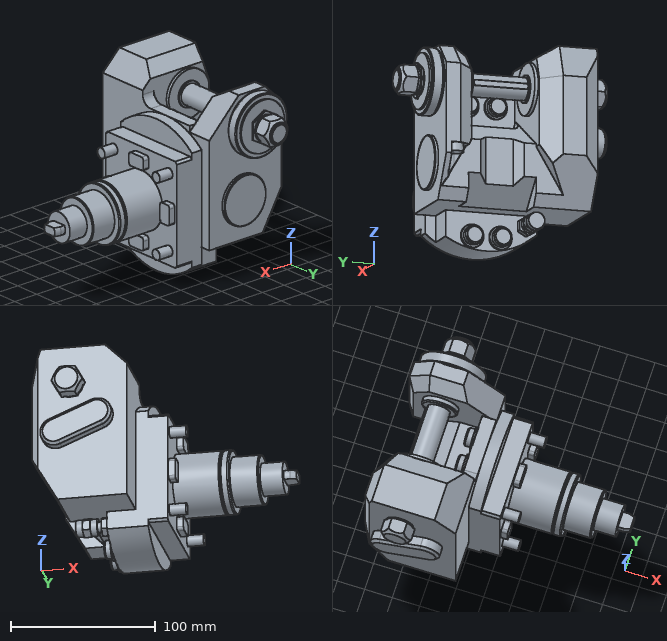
import cadquery as cq
import math


flange_radius = 57.0
flange_half_width = 37.5
flange_front_x = -13.8
body_back_x = -22.75
base_half_height = 39.9
base_edge_chamfer = 1.8
lower_block_front_x = -43.0
lower_block_side_y = 29.65

gap_half = 24.75
body_bottom_z = -30.0
bottom_slope_x = -71.8
bottom_slope_angle = math.radians(60)

big_arm_front_x = -91.8
big_arm_outer_y = -67.0
big_arm_top_z = 82.87
big_arm_front_top_z = 60.3
big_arm_top_front_x = -83.7
big_arm_top_back_x = -38.0
big_arm_back_top_z = 68.0
big_arm_front_bevel = (8.2, 14.8)
big_arm_top_bevel = (8.1, 13.8)
big_arm_outer_bevel = (6.2, 10.4)

small_arm_front_x = -89.1
small_arm_outer_y = 45.5
small_arm_top_z = 79.15
small_arm_corner = 15.0
small_arm_back_corner_x = -49.7
small_arm_inner_bevel = (6.0, 10.0)

web_front_x = -76.9
web_front_top_z = 13.8
web_slope_angle = math.radians(30)
step_z = 29.8
step_fillet = 8.0
plate_front_x = -33.0
groove_depth = 6.0
groove_floor_half = 10.0
flare_top_z = 12.0
flare_bottom_z = -21.1
flare_angle = math.radians(31)
notch_top_z = -10.0

pocket_radius = 5.3
pocket_x = -82.8
pocket_y = 36.1
pocket_top_z = 8.1
pocket_head_height = 6.0

arbor_x = -63.0
arbor_z = 55.2
arbor_diameter = 16.2
key_width = 4.0
key_height_radius = 9.1
hex_flats = 19.2
hex_tip_diameter = 16.2

collar_end_y = -22.2
spacer_end_y = -21.2
key_y = (-20.9, 19.1)
key_corner_radius = 1.5
bush_start_y = 20.6
bush_chamfer = 1.0
cap_base_end_y = 46.9
cap_rim_end_y = 54.3
cap_rim_chamfer = 0.8
cap_boss_end_y = 55.7
lock_plate_y = (57.2, 58.6)
lock_plate_flats = 22.3
nut_y = (60.1, 72.2)
thread_tip_y = 73.3
thread_tip_chamfer = 0.6
bolt_seat_y = -68.0
bolt_tip_y = -79.2
collar_diameter = 37.0
spacer_diameter = 19.6
bush_diameter = 26.0
cap_base_diameter = 45.5
cap_rim_diameter = 47.4
cap_boss_diameter = 39.5
nut_neck_diameter = 19.8
thread_tip_diameter = 14.5

cover_x = -53.7
cover_diameter = 38.3
cover_end_y = 48.1
cover_chamfer = 0.6

pilot_end_x = 32.5
pilot_diameter = 45.0
groove_end_x = 33.2
groove_diameter = 43.0
collar_end_x = 39.7
shoulder_end_x = 59.8
shoulder_diameter = 35.0
nose_end_x = 75.5
nose_diameter = 23.2
shank_edge_chamfer = (1.2, 0.4)
shoulder_edge_chamfer = (1.0, 0.4)
tang_end_x = 84.2
tang_thickness = 6.5
tang_diameter = 13.3
tang_taper = (4.5, 1.1)

pad_center = (-57.5, 24.3)
pad_radius = 10.2
pad_length = 52.6
pad_angle = 22.0
pad_height = 8.45
pad_chamfer = 2.0

pin_offset = 29.0
pin_diameter = 8.0
pin_length = 11.6
lug_width = 15.4
lug_inner = 25.0
lug_outer = 35.1
lug_length = 4.74
lug_corner = 2.2

screw_y = 10.4
screw_z = 47.2
screw_head_diameter = 13.1
screw_head_length = 5.1
screw_head_chamfer = 1.0
screw_washer_diameter = 16.3
screw_washer_length = 1.7

fitting_y = -29.3
fitting_z = -37.8
fitting_hex_flats = 12.0
fitting_tip_x = -65.7
fitting_barrel_end_x = -50.8
fitting_barrel_diameter = 11.8
fitting_neck_diameter = 7.6
fitting_nut_x = (-60.9, -55.5)
fitting_locknut_front_x = -47.7

overlap = 1.0


def box(x0, x1, y0, y1, z0, z1):
    return cq.Workplane("XY").box(x1 - x0, y1 - y0, z1 - z0, centered=False).translate((x0, y0, z0))


def rod_x(x0, x1, diameter, y=0.0, z=0.0):
    return cq.Workplane("YZ", origin=(x0, y, z)).circle(diameter / 2).extrude(x1 - x0)


def rod_y(y0, y1, diameter, x=arbor_x, z=arbor_z):
    return cq.Workplane("XZ", origin=(x, y1, z)).circle(diameter / 2).extrude(y1 - y0)


def prism_y(points, y0, y1):
    return cq.Workplane("XZ", origin=(0, y1, 0)).polyline(points).close().extrude(y1 - y0)


def hex_x(x0, x1, flats, y, z):
    corners = flats / math.cos(math.pi / 6)
    hexagon = cq.Workplane("YZ", origin=(x0, y, z)).transformed(rotate=(0, 0, 90))
    return hexagon.polygon(6, corners).extrude(x1 - x0)


def hex_y(y0, y1, flats, turn=0.0):
    corners = flats / math.cos(math.pi / 6)
    hexagon = cq.Workplane("XZ", origin=(arbor_x, y1, arbor_z)).transformed(rotate=(0, 0, turn))
    return hexagon.polygon(6, corners).extrude(y1 - y0)


def hex_head(y_seat, y_tip):
    """Hexagon on the arbor axis whose corners are turned off at the tip end."""
    corner_radius = hex_flats / math.cos(math.pi / 6) / 2
    tip_radius = hex_tip_diameter / 2
    turned_length = corner_radius - tip_radius
    envelope = rod_y(min(y_seat, y_tip), max(y_seat, y_tip), 2 * corner_radius)
    tip_face = ">Y" if y_tip > y_seat else "<Y"
    envelope = envelope.faces(tip_face).chamfer(turned_length)
    return hex_y(min(y_seat, y_tip), max(y_seat, y_tip), hex_flats).intersect(envelope)


def bottom_slope_z(x):
    """Height of the sloped underside at the front of the arms."""
    return body_bottom_z + (bottom_slope_x - x) * math.tan(bottom_slope_angle)


def bevel(profile, y_face, y_run, setback):
    """Wedges that bevel the edges of a prism along consecutive outline points.

    On the face at y_face each bevel starts setback in from the outline. It
    meets the outline after y_run, which is signed.
    """
    reach = 100.0
    wedges = cq.Workplane("XY")
    for (x0, z0), (x1, z1) in zip(profile, profile[1:]):
        length = math.hypot(x1 - x0, z1 - z0)
        along = cq.Vector((x1 - x0) / length, 0, (z1 - z0) / length)
        inward = cq.Vector(along.z, 0, -along.x)
        plane = cq.Plane(origin=(x0, y_face, z0), xDir=inward, normal=along)
        side = plane.toLocalCoords(cq.Vector(x0, y_face + y_run, z0)).y
        wedge = (
            cq.Workplane(plane)
            .workplane(offset=-reach)
            .polyline([(-setback, 2 * side), (-setback, -side), (2 * setback, -side)])
            .close()
            .extrude(length + 2 * reach)
        )
        wedges = wedges.add(wedge)
    return wedges


def cut_all(body, tools):
    for tool in tools.vals():
        body = body.cut(cq.Workplane(tool))
    return body


def big_arm():
    front_low = (big_arm_front_x, bottom_slope_z(big_arm_front_x))
    front_high = (big_arm_front_x, big_arm_front_top_z)
    top_front = (big_arm_top_front_x, big_arm_top_z)
    top_back = (big_arm_top_back_x, big_arm_top_z)
    outline = [
        (bottom_slope_x, body_bottom_z),
        front_low,
        front_high,
        top_front,
        top_back,
        (body_back_x, big_arm_back_top_z),
        (body_back_x, body_bottom_z),
    ]
    arm = prism_y(outline, big_arm_outer_y, -gap_half)
    front_setback, front_run = big_arm_front_bevel
    top_setback, top_run = big_arm_top_bevel
    outer_setback, outer_run = big_arm_outer_bevel
    arm = cut_all(arm, bevel([front_low, front_high, top_front], -gap_half, -front_run, front_setback))
    arm = cut_all(arm, bevel([top_front, top_back], -gap_half, -top_run, top_setback))
    return cut_all(arm, bevel([front_low, front_high], big_arm_outer_y, outer_run, outer_setback))


def small_arm():
    front_low = (small_arm_front_x, bottom_slope_z(small_arm_front_x))
    front_high = (small_arm_front_x, small_arm_top_z - small_arm_corner)
    top_front = (small_arm_front_x + small_arm_corner, small_arm_top_z)
    top_back = (small_arm_back_corner_x, small_arm_top_z)
    back_drop = body_back_x - small_arm_back_corner_x
    outline = [
        (bottom_slope_x, body_bottom_z),
        front_low,
        front_high,
        top_front,
        top_back,
        (body_back_x, small_arm_top_z - back_drop),
        (body_back_x, body_bottom_z),
    ]
    arm = prism_y(outline, gap_half, small_arm_outer_y)
    setback, run = small_arm_inner_bevel
    return cut_all(arm, bevel([front_low, front_high, top_front, top_back], gap_half, run, setback))


def clamp_pocket():
    """Recess open to the front, to the gap and underneath, rounded at its blind corner."""
    recess = box(
        small_arm_front_x - overlap,
        pocket_x + pocket_radius,
        gap_half,
        pocket_y + pocket_radius,
        body_bottom_z,
        pocket_top_z,
    )
    return recess.edges("|Z and >X and >Y").fillet(pocket_radius)


def pocket_screw_head():
    bottom = pocket_top_z - pocket_head_height
    height = pocket_head_height + overlap
    return cq.Workplane("XY", origin=(pocket_x, pocket_y, bottom)).circle(pocket_radius).extrude(height)


def trough(x0, x1, floor_z):
    """Filling between the arms, with a fillet rising onto the big arm."""
    section = (
        cq.Workplane("YZ", origin=(x0, 0, 0))
        .moveTo(-gap_half, body_bottom_z)
        .lineTo(gap_half, body_bottom_z)
        .lineTo(gap_half, floor_z)
        .lineTo(-gap_half + step_fillet, floor_z)
        .radiusArc((-gap_half, floor_z + step_fillet), step_fillet)
        .close()
    )
    return section.extrude(x1 - x0)


def web():
    slope_top_z = step_z + step_fillet
    slope_run = (slope_top_z - web_front_top_z) / math.tan(web_slope_angle)
    profile = [
        (web_front_x, body_bottom_z),
        (web_front_x, web_front_top_z),
        (web_front_x + slope_run, slope_top_z),
        (body_back_x, slope_top_z),
        (body_back_x, body_bottom_z),
    ]
    sloped = prism_y(profile, -gap_half, gap_half)
    filling = sloped.intersect(trough(web_front_x, body_back_x, step_z))
    groove_back_x = web_front_x + groove_depth
    groove_mouth_half = groove_floor_half + groove_depth
    groove = (
        cq.Workplane("XY", origin=(0, 0, body_bottom_z))
        .polyline(
            [
                (web_front_x, -groove_mouth_half),
                (groove_back_x, -groove_floor_half),
                (groove_back_x, groove_floor_half),
                (web_front_x, groove_mouth_half),
            ]
        )
        .close()
        .extrude(slope_top_z - body_bottom_z)
    )
    notch_run = notch_top_z - body_bottom_z
    notch = prism_y(
        [
            (web_front_x, notch_top_z),
            (web_front_x + notch_run, body_bottom_z),
            (web_front_x, body_bottom_z),
        ],
        -gap_half,
        gap_half,
    )
    return filling.cut(groove).cut(notch)


def flare():
    """Clearance that widens downwards in front of the web and cuts both arms."""
    bottom_half = gap_half + (flare_top_z - flare_bottom_z) * math.tan(flare_angle)
    section = (
        cq.Workplane("YZ", origin=(web_front_x, 0, 0))
        .polyline(
            [
                (-bottom_half, flare_bottom_z),
                (bottom_half, flare_bottom_z),
                (gap_half, flare_top_z),
                (-gap_half, flare_top_z),
            ]
        )
        .close()
    )
    return section.extrude(big_arm_front_x - overlap - web_front_x)


def flange():
    disc = rod_x(body_back_x, flange_front_x, 2 * flange_radius)
    sides = box(
        body_back_x, flange_front_x, -flange_half_width, flange_half_width, -flange_radius, flange_radius
    )
    base = box(
        flange_front_x, 0, -flange_half_width, flange_half_width, -base_half_height, base_half_height
    )
    return disc.intersect(sides).union(base.edges("|X").chamfer(base_edge_chamfer))


def lower_block():
    disc = rod_x(lower_block_front_x, body_back_x, 2 * flange_radius)
    limits = box(
        lower_block_front_x,
        body_back_x,
        -flange_half_width,
        lower_block_side_y,
        -flange_radius,
        body_bottom_z,
    )
    return disc.intersect(limits)


def shank():
    pilot = rod_x(0, pilot_end_x, pilot_diameter)
    groove = rod_x(pilot_end_x, groove_end_x, groove_diameter)
    collar = rod_x(groove_end_x, collar_end_x, pilot_diameter).faces("<X or >X").chamfer(*shank_edge_chamfer)
    shoulder = rod_x(collar_end_x, shoulder_end_x, shoulder_diameter)
    shoulder = shoulder.faces(">X").chamfer(*shoulder_edge_chamfer)
    nose = rod_x(shoulder_end_x, nose_end_x, nose_diameter)
    return pilot.union(groove).union(collar).union(shoulder).union(nose)


def tang():
    radius = tang_diameter / 2
    half_thickness = tang_thickness / 2
    blank = rod_x(nose_end_x, tang_end_x, tang_diameter).faces(">X").chamfer(*tang_taper)
    flats = box(nose_end_x, tang_end_x, -radius, radius, -half_thickness, half_thickness)
    return blank.intersect(flats)


def back_face_pins():
    pins = cq.Workplane("YZ").rect(2 * pin_offset, 2 * pin_offset, forConstruction=True).vertices()
    return pins.circle(pin_diameter / 2).extrude(pin_length)


def drive_lugs():
    lug = box(0, lug_length, -lug_width / 2, lug_width / 2, lug_inner, lug_outer)
    lug = lug.edges("|X").fillet(lug_corner)
    lugs = lug
    for turn in (90, 180, 270):
        lugs = lugs.union(lug.rotate((0, 0, 0), (1, 0, 0), turn))
    return lugs


def flange_screw(seat_x, y, z):
    washer_front_x = seat_x - screw_washer_length
    washer = rod_x(washer_front_x, seat_x, screw_washer_diameter, y, z)
    head = rod_x(washer_front_x - screw_head_length, washer_front_x, screw_head_diameter, y, z)
    return washer.union(head.faces("<X").chamfer(screw_head_chamfer))


def flange_screws():
    screws = cq.Workplane("XY")
    for y in (-screw_y, screw_y):
        screws = screws.add(flange_screw(plate_front_x, y, screw_z))
        screws = screws.add(flange_screw(lower_block_front_x, y, -screw_z))
    return screws.combine()


def fitting():
    barrel = rod_x(fitting_tip_x, fitting_barrel_end_x, fitting_barrel_diameter, fitting_y, fitting_z)
    neck = rod_x(fitting_barrel_end_x, lower_block_front_x, fitting_neck_diameter, fitting_y, fitting_z)
    nut = hex_x(*fitting_nut_x, fitting_hex_flats, fitting_y, fitting_z)
    locknut = hex_x(fitting_locknut_front_x, lower_block_front_x, fitting_hex_flats, fitting_y, fitting_z)
    return barrel.union(neck).union(nut).union(locknut)


def arbor():
    bar = rod_y(-gap_half - overlap, gap_half + overlap, arbor_diameter)
    key = box(
        arbor_x - key_height_radius,
        arbor_x,
        key_y[0],
        key_y[1],
        arbor_z - key_width / 2,
        arbor_z + key_width / 2,
    )
    key = key.edges("|X").fillet(key_corner_radius)
    collar = rod_y(-gap_half, collar_end_y, collar_diameter)
    spacer = rod_y(collar_end_y, spacer_end_y, spacer_diameter)
    bush = rod_y(bush_start_y, gap_half, bush_diameter).faces("<Y").chamfer(bush_chamfer)
    return bar.union(key).union(collar).union(spacer).union(bush)


def bearing_cap():
    base = rod_y(small_arm_outer_y, cap_base_end_y, cap_base_diameter)
    rim = rod_y(cap_base_end_y, cap_rim_end_y, cap_rim_diameter).faces(">Y").chamfer(cap_rim_chamfer)
    boss = rod_y(cap_rim_end_y, cap_boss_end_y, cap_boss_diameter)
    return base.union(rim).union(boss)


def arbor_nut():
    nut_seat_y, nut_end_y = nut_y
    neck = rod_y(cap_boss_end_y, nut_seat_y, nut_neck_diameter)
    lock_plate = hex_y(*lock_plate_y, lock_plate_flats, turn=30)
    nut = hex_head(nut_seat_y, nut_end_y)
    thread_tip = rod_y(nut_end_y, thread_tip_y, thread_tip_diameter).faces(">Y").chamfer(thread_tip_chamfer)
    return neck.union(lock_plate).union(nut).union(thread_tip)


def arbor_bolt():
    washer = rod_y(bolt_seat_y, big_arm_outer_y, hex_flats)
    return washer.union(hex_head(bolt_seat_y, bolt_tip_y))


def side_cover():
    cover = rod_y(small_arm_outer_y, cover_end_y, cover_diameter, x=cover_x, z=0)
    return cover.faces(">Y").chamfer(cover_chamfer)


def slotted_pad():
    x, z = pad_center
    pad = (
        cq.Workplane("XZ", origin=(x, big_arm_outer_y, z))
        .transformed(rotate=(0, 0, pad_angle))
        .slot2D(pad_length, 2 * pad_radius)
        .extrude(pad_height)
    )
    return pad.faces("<Y").chamfer(pad_chamfer)


arms = big_arm().union(small_arm().cut(clamp_pocket())).cut(flare())
result = arms.union(web()).union(trough(plate_front_x, body_back_x, flange_radius))
features = [
    pocket_screw_head(),
    flange(),
    lower_block(),
    shank(),
    tang(),
    back_face_pins(),
    drive_lugs(),
    flange_screws(),
    fitting(),
    arbor(),
    bearing_cap(),
    arbor_nut(),
    arbor_bolt(),
    side_cover(),
    slotted_pad(),
]
for feature in features:
    result = result.union(feature)